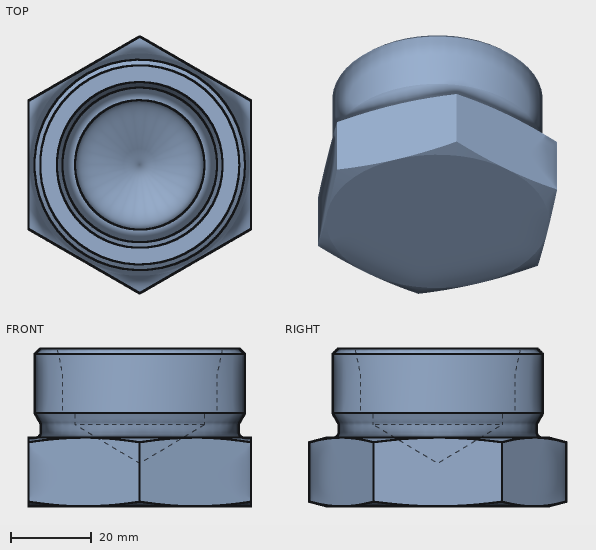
import cadquery as cq
import math

hex_across_corners = 63.5
total_height = 39.0

hex_height = 16.95
hex_across_flats = hex_across_corners * math.cos(math.radians(30))
hex_chamfer_angle = 15.0

spigot_radius = 52.0 / 2
spigot_chamfer = 1.4
undercut_radius = 49.0 / 2
undercut_cone_top = 23.0
undercut_cone_angle = 30.0
undercut_fillet = 1.3

mouth_radius = 40.95 / 2
socket_radius = 38.25 / 2
hole_radius = 32.0 / 2
mouth_depth = 6.5
socket_depth = 16.0
hole_depth = 18.8
drill_tip_angle = 118.0


def revolve_profile(profile):
    """Turn a closed radius-height profile around the Z axis."""
    return profile.close().revolve(360, (0, 0, 0), (0, 1, 0))


def make_head():
    """Hexagon with corners on Y, its corners chamfered at both ends."""
    hexagon = (
        cq.Workplane("XY")
        .polygon(6, hex_across_corners)
        .extrude(hex_height)
        .rotate((0, 0, 0), (0, 0, 1), 90)
    )
    face_radius = hex_across_flats / 2
    corner_radius = hex_across_corners / 2
    drop = (corner_radius - face_radius) * math.tan(math.radians(hex_chamfer_angle))
    envelope = revolve_profile(
        cq.Workplane("XZ")
        .lineTo(face_radius, 0)
        .lineTo(corner_radius, drop)
        .lineTo(corner_radius, hex_height - drop)
        .lineTo(face_radius, hex_height)
        .lineTo(0, hex_height)
    )
    return hexagon.intersect(envelope)


def make_spigot():
    """Round spigot with a chamfered top and a filleted undercut at its root."""
    cone_angle = math.radians(undercut_cone_angle)
    cone_bottom = undercut_cone_top - (spigot_radius - undercut_radius) / math.tan(cone_angle)
    tangent_length = undercut_fillet * math.tan(cone_angle / 2)
    blend_end = (
        undercut_radius + tangent_length * math.sin(cone_angle),
        cone_bottom + tangent_length * math.cos(cone_angle),
    )
    return revolve_profile(
        cq.Workplane("XZ")
        .lineTo(undercut_radius + undercut_fillet, 0)
        .lineTo(undercut_radius + undercut_fillet, hex_height)
        .radiusArc((undercut_radius, hex_height + undercut_fillet), undercut_fillet)
        .lineTo(undercut_radius, cone_bottom - tangent_length)
        .radiusArc(blend_end, undercut_fillet)
        .lineTo(spigot_radius, undercut_cone_top)
        .lineTo(spigot_radius, total_height - spigot_chamfer)
        .lineTo(spigot_radius - spigot_chamfer, total_height)
        .lineTo(0, total_height)
    )


def make_bore():
    """Tapered mouth, cylindrical socket and a smaller hole with a drill tip."""
    tip_length = hole_radius / math.tan(math.radians(drill_tip_angle / 2))
    socket_floor = total_height - socket_depth
    hole_floor = total_height - hole_depth
    return revolve_profile(
        cq.Workplane("XZ")
        .moveTo(0, total_height)
        .lineTo(mouth_radius, total_height)
        .lineTo(socket_radius, total_height - mouth_depth)
        .lineTo(socket_radius, socket_floor)
        .lineTo(hole_radius, socket_floor)
        .lineTo(hole_radius, hole_floor)
        .lineTo(0, hole_floor - tip_length)
    )


result = make_head().union(make_spigot()).cut(make_bore())